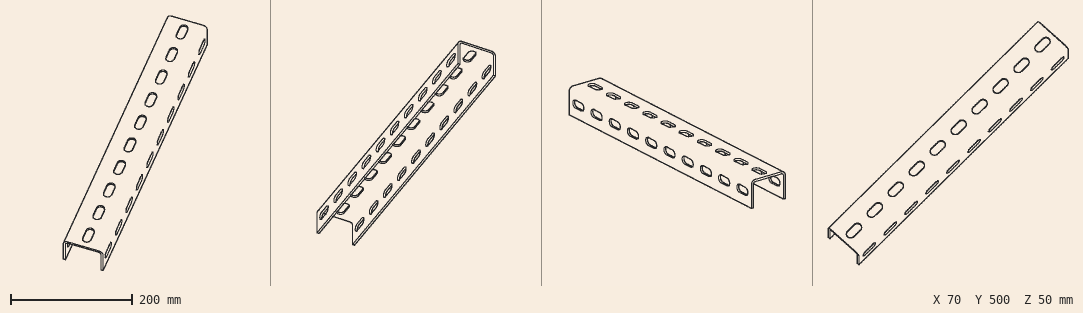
import cadquery as cq

LENGTH = 500.0
WIDTH = 70.0
HEIGHT = 50.0
THICKNESS = 4.0
OUTER_BEND_RADIUS = 8.0
INNER_BEND_RADIUS = OUTER_BEND_RADIUS - THICKNESS

SLOT_COUNT = 10
SLOT_PITCH = LENGTH / SLOT_COUNT
SLOT_LENGTH = 30.0
SLOT_WIDTH = 14.0
FLANGE_SLOT_HEIGHT = HEIGHT / 2


def bent_block(width, height, bend_radius):
    """Full-length block standing on Z = 0 with its two long top edges rounded."""
    block = cq.Workplane("XY").box(width, LENGTH, height, centered=(True, True, False))
    return block.edges("|Y and >Z").fillet(bend_radius)


def channel():
    """Inverted U: web on top, flanges hanging down, open at the bottom."""
    outside = bent_block(WIDTH, HEIGHT, OUTER_BEND_RADIUS)
    inside = bent_block(WIDTH - 2 * THICKNESS, HEIGHT - THICKNESS, INNER_BEND_RADIUS)
    return outside.cut(inside)


def slot_centres():
    """Y positions of the slots, spaced evenly about the middle of the channel."""
    first = -SLOT_PITCH * (SLOT_COUNT - 1) / 2
    return [first + index * SLOT_PITCH for index in range(SLOT_COUNT)]


def web_slots():
    """Cutters through the web, parallel to Z."""
    return (
        cq.Workplane("XY", origin=(0, 0, HEIGHT - THICKNESS))
        .pushPoints([(0, y) for y in slot_centres()])
        .slot2D(SLOT_LENGTH, SLOT_WIDTH, angle=90)
        .extrude(THICKNESS)
    )


def flange_slots():
    """Cutters through both flanges, parallel to X."""
    return (
        cq.Workplane("YZ", origin=(0, 0, FLANGE_SLOT_HEIGHT))
        .pushPoints([(y, 0) for y in slot_centres()])
        .slot2D(SLOT_LENGTH, SLOT_WIDTH)
        .extrude(WIDTH / 2, both=True)
    )


result = channel().cut(web_slots()).cut(flange_slots())